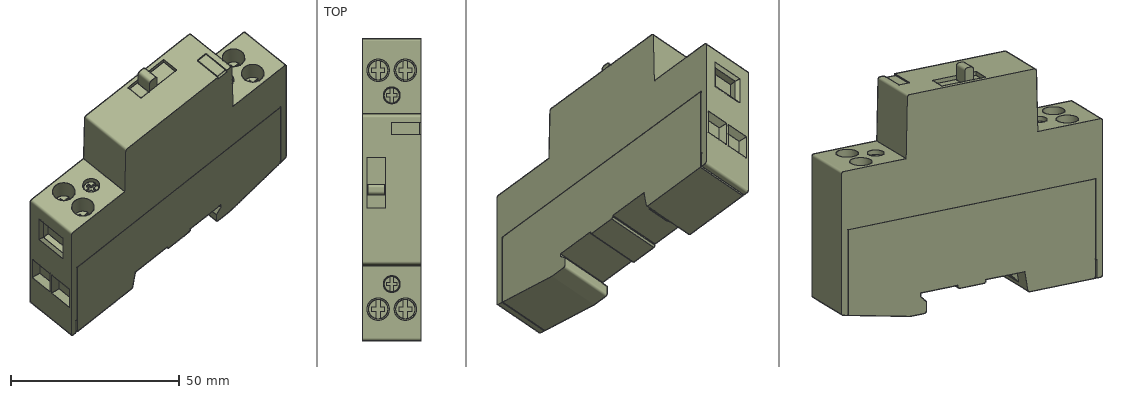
import cadquery as cq
import math

WIDTH = 17.5
LENGTH = 90.0
SHOULDER_HEIGHT = 50.5
TOWER_HEIGHT = 70.65
TOTAL_HEIGHT = 74.7
TOWER_TOP_HALF = 22.2
TOWER_FOOT_HALF = 22.7
EDGE_RADIUS = 0.8
HALF_LENGTH = LENGTH / 2
HALF_WIDTH = WIDTH / 2

SPLIT_HEIGHT = 31.7
BASE_HALF_LENGTH = 42.5
END_GAP = 0.3
SKIRT_NOTCH_HEIGHT = 5.85

SLOPE_END_HEIGHT = 4.9
SLOPE_FOOT_Y = 21.3

RAIL_FACE = 6.75
JAW_Y = 15.7
JAW_LIP_HEIGHT = 3.7
JAW_ROOT_Y = 17.6
JAW_ROOT_HEIGHT = JAW_LIP_HEIGHT + JAW_ROOT_Y - JAW_Y
CHANNEL_TOP_Y = -18.2
CHANNEL_FOOT_Y = -19.35
BUMP_HALF = 4.9
BUMP_CHAMFER = 0.5
BUMP_HEIGHT = 1.1

LATCH_WIDTH = 7.2
LATCH_TIP_Y = -15.0
LATCH_TIP_HEIGHT = 5.7
LATCH_STEP_Y = -16.7
LATCH_BOTTOM = 1.2

LARGE_SCREW_X = 4.05
LARGE_SCREW_Y = 35.55
LARGE_HOLE_DIAMETER = 6.7
LARGE_HEAD_DIAMETER = 5.8
LARGE_HEAD_DEPTH = 5.85
LARGE_CROSS_LENGTH = 3.9
LARGE_SLOT_WIDTH = 1.3
SMALL_SCREW_Y = 28.1
SMALL_HOLE_DIAMETER = 5.0
SMALL_HEAD_DIAMETER = 4.5
SMALL_HEAD_DEPTH = 1.35
SMALL_CROSS_LENGTH = 3.15
SMALL_SLOT_WIDTH = 1.0
HEAD_THICKNESS = 1.35
CROSS_DEPTH = 0.9

UPPER_OPENING_WIDTH = 10.2
UPPER_OPENING_HEIGHT = 10.0
UPPER_OPENING_CENTRE = 39.8
UPPER_BEVEL = 1.0
UPPER_DEPTH = 3.0
LOWER_OPENING_WIDTH = 7.5
LOWER_OPENING_HEIGHT = 8.9
LOWER_OPENING_X = 4.095
LOWER_OPENING_CENTRE = 17.9
LOWER_TAPER = 0.9

TOGGLE_X = -4.6
TOGGLE_WIDTH = 4.95
TOGGLE_LENGTH = 3.1
TOGGLE_TIP_RADIUS = 1.0
WINDOW_CLEARANCE = 0.3
WINDOW_BACK = 9.5
WINDOW_FRONT = -5.4
WINDOW_DEPTH = 1.3

LABEL_START_X = -0.1
LABEL_FRONT = 16.5
LABEL_BACK = 20.1
LABEL_DEPTH = 0.4
LABEL_LIP = 0.5


def extrude_across(points, width):
    """Extrude a closed (Y, Z) outline over a width centred on X = 0."""
    return cq.Workplane("YZ").polyline(points).close().extrude(width / 2, both=True)


def block(x_range, y_range, z_range):
    """Axis-aligned block between the given limits."""
    sizes = [high - low for low, high in (x_range, y_range, z_range)]
    corner = (x_range[0], y_range[0], z_range[0])
    return cq.Workplane("XY").box(*sizes, centered=False).translate(corner)


def slope_height(y):
    """Height of the sloping underside at a place along Y."""
    return SLOPE_END_HEIGHT * (y - SLOPE_FOOT_Y) / (HALF_LENGTH - SLOPE_FOOT_Y)


def cover_shell():
    """Stepped outer form with a front and a rear skirt around the base."""
    inner = BASE_HALF_LENGTH + END_GAP
    notched = inner + END_GAP
    outline = [
        (-HALF_LENGTH, 0),
        (-HALF_LENGTH, SHOULDER_HEIGHT),
        (-TOWER_FOOT_HALF, SHOULDER_HEIGHT),
        (-TOWER_TOP_HALF, TOWER_HEIGHT),
        (TOWER_TOP_HALF, TOWER_HEIGHT),
        (TOWER_FOOT_HALF, SHOULDER_HEIGHT),
        (HALF_LENGTH, SHOULDER_HEIGHT),
        (HALF_LENGTH, SLOPE_END_HEIGHT),
        (inner, slope_height(inner)),
        (inner, SPLIT_HEIGHT),
        (-inner, SPLIT_HEIGHT),
        (-inner, SKIRT_NOTCH_HEIGHT),
        (-notched, SKIRT_NOTCH_HEIGHT),
        (-notched, 0),
    ]
    shell = extrude_across(outline, WIDTH)
    return shell.faces("<Y or >Y or >Z").edges("|X").fillet(EDGE_RADIUS)


def screw_recess(hole_diameter, head_diameter, head_depth, cross_length, slot_width):
    """Cutter for a screw hole that leaves a cross-slotted head; the hole mouth is at Z = 0."""
    floor = head_depth + HEAD_THICKNESS
    hole = cq.Workplane("XY").circle(hole_diameter / 2).extrude(-floor)
    head = cq.Workplane("XY").workplane(offset=-floor).circle(head_diameter / 2).extrude(HEAD_THICKNESS)
    long_slot = cq.Workplane("XY").box(slot_width, head_diameter, CROSS_DEPTH)
    short_slot = cq.Workplane("XY").box(cross_length, slot_width, CROSS_DEPTH)
    cross = long_slot.union(short_slot).translate((0, 0, -head_depth - CROSS_DEPTH / 2))
    return hole.cut(head.cut(cross))


def cut_screws(body):
    """Sink the screw holes into both shoulders."""
    large = screw_recess(
        LARGE_HOLE_DIAMETER, LARGE_HEAD_DIAMETER, LARGE_HEAD_DEPTH, LARGE_CROSS_LENGTH, LARGE_SLOT_WIDTH
    )
    small = screw_recess(
        SMALL_HOLE_DIAMETER, SMALL_HEAD_DIAMETER, SMALL_HEAD_DEPTH, SMALL_CROSS_LENGTH, SMALL_SLOT_WIDTH
    )
    for end in (-1, 1):
        body = body.cut(small.translate((0, end * SMALL_SCREW_Y, SHOULDER_HEIGHT)))
        for side in (-1, 1):
            place = (side * LARGE_SCREW_X, end * LARGE_SCREW_Y, SHOULDER_HEIGHT)
            body = body.cut(large.translate(place))
    return body


def tapered_opening(width, height, inset, depth):
    """Funnel cutter running toward +Y from its mouth at Y = 0, narrowing by the inset on each side."""
    taper = math.degrees(math.atan(inset / depth))
    return cq.Workplane("XZ").rect(width, height).extrude(-depth, taper=taper)


def cut_conductor_openings(body):
    """One bevelled pocket above two funnels that pass through the front skirt."""
    bevel = tapered_opening(UPPER_OPENING_WIDTH, UPPER_OPENING_HEIGHT, UPPER_BEVEL, UPPER_BEVEL)
    pocket = cq.Workplane("XZ").rect(
        UPPER_OPENING_WIDTH - 2 * UPPER_BEVEL, UPPER_OPENING_HEIGHT - 2 * UPPER_BEVEL
    ).extrude(-UPPER_DEPTH)
    body = body.cut(bevel.union(pocket).translate((0, -HALF_LENGTH, UPPER_OPENING_CENTRE)))
    skirt = HALF_LENGTH - BASE_HALF_LENGTH - END_GAP
    funnel = tapered_opening(LOWER_OPENING_WIDTH, LOWER_OPENING_HEIGHT, LOWER_TAPER, skirt)
    for side in (-1, 1):
        body = body.cut(funnel.translate((side * LOWER_OPENING_X, -HALF_LENGTH, LOWER_OPENING_CENTRE)))
    return body


def toggle_window():
    """Shallow window in which the toggle stands."""
    half_width = TOGGLE_WIDTH / 2 + WINDOW_CLEARANCE
    return block(
        (TOGGLE_X - half_width, TOGGLE_X + half_width),
        (WINDOW_FRONT, WINDOW_BACK),
        (TOWER_HEIGHT - WINDOW_DEPTH, TOWER_HEIGHT),
    )


def label_recess():
    """Label recess whose floor drops off at 45 degrees beside the +X side."""
    floor = TOWER_HEIGHT - LABEL_DEPTH
    outline = [
        (LABEL_START_X, TOWER_HEIGHT),
        (HALF_WIDTH, TOWER_HEIGHT),
        (HALF_WIDTH, floor - LABEL_LIP),
        (HALF_WIDTH - LABEL_LIP, floor),
        (LABEL_START_X, floor),
    ]
    cutter = cq.Workplane("XZ").polyline(outline).close().extrude(LABEL_FRONT - LABEL_BACK)
    return cutter.translate((0, LABEL_FRONT, 0))


def make_cover():
    """Upper housing with its screws and openings."""
    body = cut_conductor_openings(cut_screws(cover_shell()))
    return body.cut(toggle_window()).cut(label_recess())


def latch():
    """Sloped tooth under the rail face and the tongue that runs from it to the front skirt."""
    tongue_end = -(BASE_HALF_LENGTH + 2 * END_GAP)
    outline = [
        (LATCH_TIP_Y, LATCH_TIP_HEIGHT),
        (LATCH_STEP_Y, LATCH_TIP_HEIGHT),
        (LATCH_STEP_Y, RAIL_FACE),
        (CHANNEL_FOOT_Y, RAIL_FACE),
        (CHANNEL_FOOT_Y, SKIRT_NOTCH_HEIGHT),
        (tongue_end, SKIRT_NOTCH_HEIGHT),
        (tongue_end, LATCH_BOTTOM),
        (LATCH_TIP_Y - (LATCH_TIP_HEIGHT - LATCH_BOTTOM), LATCH_BOTTOM),
    ]
    return extrude_across(outline, LATCH_WIDTH)


def make_base():
    """Lower block with the rail channel and the latch."""
    bump_tip = RAIL_FACE - BUMP_HEIGHT
    outline = [
        (BASE_HALF_LENGTH, SPLIT_HEIGHT),
        (BASE_HALF_LENGTH, slope_height(BASE_HALF_LENGTH)),
        (SLOPE_FOOT_Y, 0),
        (JAW_Y, 0),
        (JAW_Y, JAW_LIP_HEIGHT),
        (JAW_ROOT_Y, JAW_ROOT_HEIGHT),
        (JAW_ROOT_Y, RAIL_FACE),
        (BUMP_HALF, RAIL_FACE),
        (BUMP_HALF, bump_tip + BUMP_CHAMFER),
        (BUMP_HALF - BUMP_CHAMFER, bump_tip),
        (-BUMP_HALF + BUMP_CHAMFER, bump_tip),
        (-BUMP_HALF, bump_tip + BUMP_CHAMFER),
        (-BUMP_HALF, RAIL_FACE),
        (CHANNEL_TOP_Y, RAIL_FACE),
        (CHANNEL_FOOT_Y, 0),
        (-BASE_HALF_LENGTH, 0),
        (-BASE_HALF_LENGTH, SPLIT_HEIGHT),
    ]
    body = extrude_across(outline, WIDTH)
    for foot_y in (JAW_Y, CHANNEL_FOOT_Y):
        corner = cq.selectors.NearestToPointSelector((0, foot_y, 0))
        body = body.edges(corner).fillet(EDGE_RADIUS)
    return body.union(latch())


def make_toggle():
    """Switch lever with a rounded tip, standing on the window floor."""
    floor = TOWER_HEIGHT - WINDOW_DEPTH
    lever = block(
        (TOGGLE_X - TOGGLE_WIDTH / 2, TOGGLE_X + TOGGLE_WIDTH / 2),
        (-TOGGLE_LENGTH / 2, TOGGLE_LENGTH / 2),
        (floor, TOTAL_HEIGHT),
    )
    return lever.faces(">Z").edges("|X").fillet(TOGGLE_TIP_RADIUS)


cover = make_cover()
base = make_base()
toggle = make_toggle()

result = cq.Compound.makeCompound(
    [cover.solids().val(), base.solids().val(), toggle.solids().val()]
)